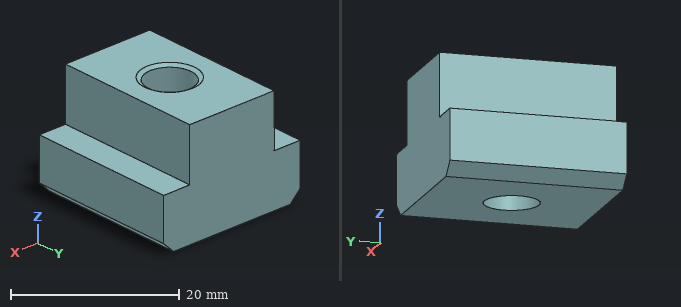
import cadquery as cq
import math

width = 22.0
length = 22.0
height = 16.0

neck_width = 13.6
flange_height = 8.0
bottom_chamfer = 1.6

hole_diameter = 6.8
countersink_diameter = 8.0
countersink_angle = 120.0


def make_body():
    """Flange and neck centred on the origin in X and Y, standing on Z = 0."""
    flange = cq.Workplane("XY").box(width, length, flange_height, centered=(True, True, False))
    flange = flange.faces("<Z").edges("|Y").chamfer(bottom_chamfer)
    neck = cq.Workplane("XY").box(neck_width, length, height, centered=(True, True, False))
    return flange.union(neck)


def make_hole():
    """Through hole and its countersink, revolved about the Z axis."""
    hole_radius = hole_diameter / 2
    countersink_radius = countersink_diameter / 2
    half_angle = math.radians(countersink_angle / 2)
    countersink_depth = (countersink_radius - hole_radius) / math.tan(half_angle)
    return (
        cq.Workplane("XZ")
        .moveTo(0, 0)
        .lineTo(hole_radius, 0)
        .lineTo(hole_radius, height - countersink_depth)
        .lineTo(countersink_radius, height)
        .lineTo(0, height)
        .close()
        .revolve(360, (0, 0, 0), (0, 1, 0))
    )


result = make_body().cut(make_hole())